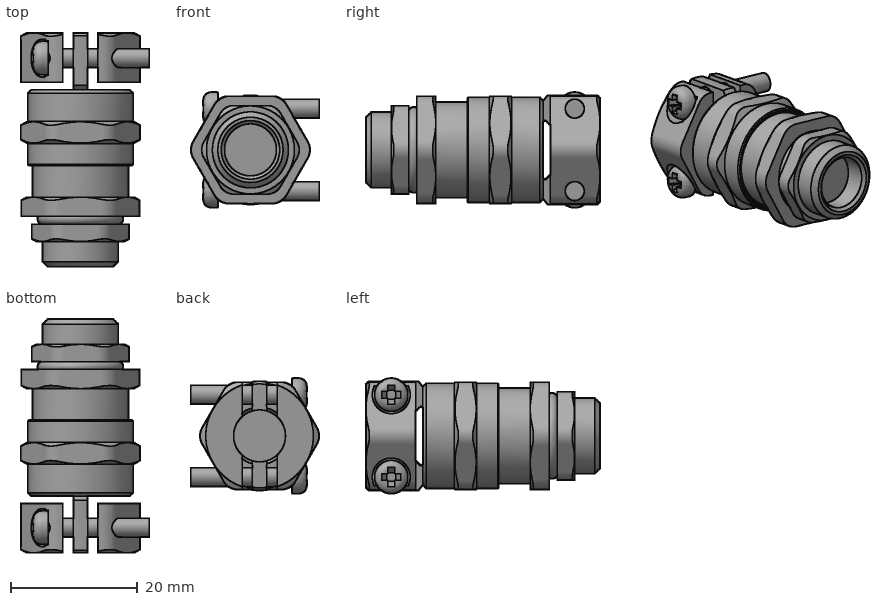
import cadquery as cq
import math


thread_chamfer = 0.85
nut_front = 4.0
nut_back = 6.75
flange_front = 8.0
flange_back = 11.0
cap_front = 15.97
cap_hex_front = 19.5
cap_hex_back = 23.0
cap_back = 28.0
jaw_front = 29.15
rear_end = 36.97

thread_diameter = 12.0
tube_diameter = 15.2
cap_diameter = 16.7
cap_front_chamfer = 0.22
cap_countersink = 0.3
cap_back_chamfer = 0.55
bore_diameter = 8.2
bore_chamfer = 0.5
bore_depth = 3.85

seal_centre_diameter = 11.83
seal_section_radius = 0.9
seal_centre_y = 7.58

large_flats = 17.0
nut_flats = 14.0
sharp_corner_radius = 2.5
flange_corner_radius = 3.0
hex_chamfer_angle = 30.0
nut_face_radius = 6.95

post_width = 2.25
post_radius = 8.65
post_back_chamfer = 0.45
post_taper_end = 28.7
groove_apex_radius = 4.85
groove_apex_y = 28.3

jaw_inner_x = 2.77
screw_y = 32.98
screw_z = 6.5
shank_diameter = 3.0
clearance_diameter = 3.2
spotface_diameter = 6.0
seat_x = -5.1
shank_end_x = 10.87
head_diameter = 5.3
head_flat_diameter = 2.6
head_height = 2.4
head_rim_fillet = 0.22
cross_width = 1.07
cross_length = 3.07
cross_floor_length = 1.35
cross_depth = 2.0

far = 2 * rear_end


def turned(points):
    """Solid of revolution about Y from (radius, y) points."""
    return cq.Workplane("XY").polyline(points).close().revolve(360, (0, 0, 0), (0, 1, 0))


def cylinder_y(diameter, start, end):
    return cq.Workplane("XZ", origin=(0, start, 0)).circle(diameter / 2).extrude(start - end)


def cylinder_x(diameter, start, end, z):
    return cq.Workplane("YZ", origin=(start, screw_y, z)).circle(diameter / 2).extrude(end - start)


def hexagon(flats, corner_radius, start, end):
    """Hexagonal prism along Y with rounded corners, two flats facing up and down."""
    across_corners = flats / math.cos(math.radians(30))
    prism = cq.Workplane("XZ", origin=(0, start, 0)).polygon(6, across_corners).extrude(start - end)
    return prism.edges("|Y").fillet(corner_radius)


def chamfer_cone(face_y, face_radius, inward):
    """Solid cone that bevels hexagon corners; it widens from the face in the inward Y direction."""
    rise = far * math.tan(math.radians(hex_chamfer_angle))
    rim_y = face_y + inward * rise
    return turned([(0, face_y), (face_radius, face_y), (face_radius + far, rim_y), (0, rim_y)])


def make_shell():
    """Turned outer shape: threaded nipple, tube and cap."""
    thread_radius = thread_diameter / 2
    tube_radius = tube_diameter / 2
    cap_radius = cap_diameter / 2
    return turned([
        (0, 0),
        (thread_radius - thread_chamfer, 0),
        (thread_radius, thread_chamfer),
        (thread_radius, flange_front),
        (tube_radius, flange_front),
        (tube_radius, cap_front + cap_countersink),
        (tube_radius + cap_countersink, cap_front),
        (cap_radius - cap_front_chamfer, cap_front),
        (cap_radius, cap_front + cap_front_chamfer),
        (cap_radius, cap_back - cap_back_chamfer),
        (cap_radius - cap_back_chamfer, cap_back),
        (0, cap_back),
    ])


def make_hexagons():
    nut = hexagon(nut_flats, sharp_corner_radius, nut_front, nut_back)
    nut = nut.intersect(chamfer_cone(nut_front, nut_face_radius, 1))

    flange = hexagon(large_flats, flange_corner_radius, flange_front, flange_back)
    flange = flange.intersect(chamfer_cone(flange_back, large_flats / 2, -1))

    cap_hex = hexagon(large_flats, sharp_corner_radius, cap_hex_front, cap_hex_back)
    cap_hex = cap_hex.intersect(chamfer_cone(cap_hex_front, cap_diameter / 2, 1))
    cap_hex = cap_hex.intersect(chamfer_cone(cap_hex_back, cap_diameter / 2, -1))
    return [nut, flange, cap_hex]


def make_seal():
    section = cq.Workplane("XY").center(-seal_centre_diameter / 2, seal_centre_y).circle(seal_section_radius)
    return section.revolve(360, (seal_centre_diameter / 2, 0, 0), (seal_centre_diameter / 2, 1, 0))


def make_posts():
    """Upper and lower posts, cut as a narrow strip from a ring behind the cap."""
    ring = turned([
        (0, cap_back),
        (cap_diameter / 2 - cap_back_chamfer, cap_back),
        (post_radius, post_taper_end),
        (post_radius, rear_end - post_back_chamfer),
        (post_radius - post_back_chamfer, rear_end),
        (0, rear_end),
    ])
    strip = cq.Workplane("XY").box(post_width, far, far)
    posts = ring.intersect(strip)
    for z in (-screw_z, screw_z):
        posts = posts.cut(cylinder_x(clearance_diameter, -post_width, post_width, z))
    return posts


def make_rear_bore():
    """Cable passage with a V-shaped undercut where posts and cap meet."""
    bore_radius = bore_diameter / 2
    undercut = groove_apex_radius - bore_radius
    return turned([
        (0, groove_apex_y - undercut),
        (bore_radius, groove_apex_y - undercut),
        (groove_apex_radius, groove_apex_y),
        (bore_radius, groove_apex_y + undercut),
        (bore_radius, rear_end),
        (0, rear_end),
    ])


def make_entry_bore():
    bore_radius = bore_diameter / 2
    return turned([
        (0, 0),
        (bore_radius + bore_chamfer, 0),
        (bore_radius, bore_chamfer),
        (bore_radius, bore_depth),
        (0, bore_depth),
    ])


def make_gland():
    gland = make_shell()
    for piece in [*make_hexagons(), make_seal(), make_posts()]:
        gland = gland.union(piece)
    return gland.cut(make_entry_bore()).cut(make_rear_bore())


def make_jaws():
    """Left and right jaws: hexagon segments with the cable bore between them."""
    jaws = hexagon(large_flats, sharp_corner_radius, jaw_front, rear_end)
    jaws = jaws.intersect(chamfer_cone(rear_end, large_flats / 2, -1))
    jaws = jaws.cut(cq.Workplane("XY").box(2 * jaw_inner_x, far, far))
    jaws = jaws.cut(cylinder_y(bore_diameter, jaw_front, rear_end))
    for z in (-screw_z, screw_z):
        jaws = jaws.cut(cylinder_x(spotface_diameter, -far, seat_x, z))
        jaws = jaws.cut(cylinder_x(clearance_diameter, seat_x, 0, z))
    return jaws


def make_cross_recess(face_x, z):
    """Cross recess with two arms whose end walls slope to a shorter floor."""
    floor_x = face_x + cross_depth
    half_top = cross_length / 2
    half_floor = cross_floor_length / 2
    arm = (
        cq.Workplane("XY")
        .polyline([(face_x, -half_top), (face_x, half_top), (floor_x, half_floor), (floor_x, -half_floor)])
        .close()
        .extrude(cross_width / 2, both=True)
    )
    crossed = arm.union(arm.rotate((0, 0, 0), (1, 0, 0), 90))
    return crossed.translate((0, screw_y, z))


def make_screw(z):
    face_x = seat_x - head_height
    dome_radius = (head_diameter - head_flat_diameter) / 2
    head = cylinder_x(head_diameter, face_x, seat_x, z).faces("<X").edges().fillet(dome_radius)
    head = head.faces(">X").edges().fillet(head_rim_fillet)
    head = head.cut(make_cross_recess(face_x, z))
    return head.union(cylinder_x(shank_diameter, seat_x, shank_end_x, z))


def make_clamp():
    clamp = make_jaws()
    for z in (-screw_z, screw_z):
        clamp = clamp.union(make_screw(z))
    return clamp


gland = make_gland()
clamp = make_clamp()

result = cq.Compound.makeCompound([gland.solids().val(), clamp.solids().val()])